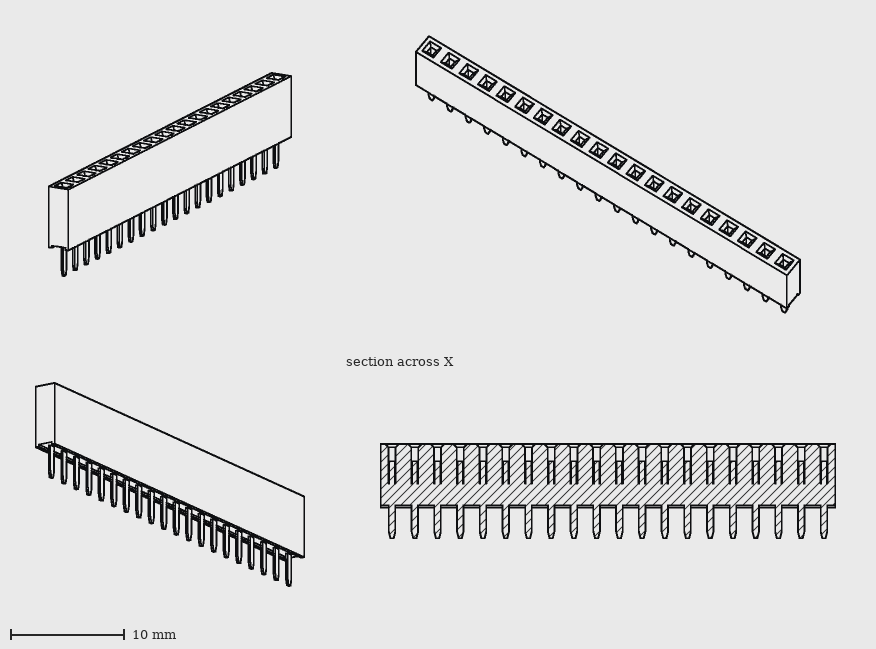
import cadquery as cq

PIN_COUNT = 20
PITCH = 2.0
TOTAL_HEIGHT = 8.3

BODY_WIDTH = 2.0
BODY_LENGTH = PIN_COUNT * PITCH
BODY_HEIGHT = 5.6
CHANNEL_DEPTH = 0.2
CHANNEL_WIDTH = 1.35

SOCKET_MOUTH = 1.2
SOCKET_BORE = 0.6
FUNNEL_DEPTH = 0.3
SOCKET_DEPTH = 3.5

PIN_THICKNESS = 0.2
PIN_WIDTH = 0.6
PIN_TIP_WIDTH = 0.3
PIN_TAPER_LENGTH = 0.6

BLADE_WIDTH = 0.5
BLADE_HEIGHT = 2.0

PIN_TIP_Z = BODY_HEIGHT - TOTAL_HEIGHT
SOCKET_FLOOR_Z = BODY_HEIGHT - SOCKET_DEPTH
BLADE_TOP_Z = SOCKET_FLOOR_Z + BLADE_HEIGHT


def make_housing():
    """Rectangular bar with a channel along its underside, leaving two standoff rails."""
    bar = cq.Workplane("XY").rect(BODY_WIDTH, BODY_LENGTH).extrude(BODY_HEIGHT)
    channel = cq.Workplane("XY").rect(CHANNEL_WIDTH, BODY_LENGTH).extrude(CHANNEL_DEPTH)
    return bar.cut(channel)


def make_socket(y):
    """Square bore with a tapered lead-in, to be cut from the top face."""
    top = cq.Workplane("XY", origin=(0, y, BODY_HEIGHT))
    bore = top.rect(SOCKET_BORE, SOCKET_BORE).extrude(-SOCKET_DEPTH)
    funnel = (
        top.rect(SOCKET_MOUTH, SOCKET_MOUTH)
        .workplane(offset=-FUNNEL_DEPTH)
        .rect(SOCKET_BORE, SOCKET_BORE)
        .loft(ruled=True)
    )
    return bore.union(funnel)


def make_pin(y):
    """Flat pin: narrow contact blade in the socket, full width below it, tapered solder tip."""
    half_width = PIN_WIDTH / 2
    half_tip = PIN_TIP_WIDTH / 2
    half_blade = BLADE_WIDTH / 2
    taper_start_z = PIN_TIP_Z + PIN_TAPER_LENGTH
    outline = [
        (-half_blade, BLADE_TOP_Z),
        (-half_blade, SOCKET_FLOOR_Z),
        (-half_width, SOCKET_FLOOR_Z),
        (-half_width, taper_start_z),
        (-half_tip, PIN_TIP_Z),
        (half_tip, PIN_TIP_Z),
        (half_width, taper_start_z),
        (half_width, SOCKET_FLOOR_Z),
        (half_blade, SOCKET_FLOOR_Z),
        (half_blade, BLADE_TOP_Z),
    ]
    plane = cq.Workplane("YZ", origin=(0, y, 0))
    return plane.polyline(outline).close().extrude(PIN_THICKNESS / 2, both=True)


pin_positions = [(index - (PIN_COUNT - 1) / 2) * PITCH for index in range(PIN_COUNT)]

result = make_housing()
for pin_y in pin_positions:
    result = result.cut(make_socket(pin_y)).union(make_pin(pin_y))